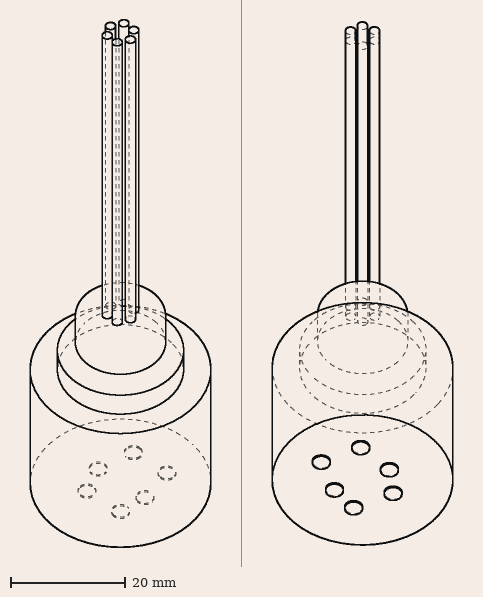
import cadquery as cq
import math

total_height = 112.6

contact_protrusion = 0.3
body_diameter = 31.8
body_height = 28.4
collar_diameter = 22.2
collar_height = 4.7
cone_height = 2.0
neck_diameter = 15.9
neck_height = 7.4
neck_fillet = 0.9

wire_count = 6
wire_diameter = 1.8
wire_circle_diameter = 4.8
first_wire_angle = -3.4

contact_diameter = 3.2
outer_row_x = (-3.4, 4.4)
middle_row_x = (-5.4, 5.4)
back_row_y = 7.3
middle_row_y = 0.2
front_row_y = -5.2
contact_rows = (
    (back_row_y, outer_row_x),
    (middle_row_y, middle_row_x),
    (front_row_y, outer_row_x),
)

body_bottom = contact_protrusion
body_top = body_bottom + body_height
collar_top = body_top + collar_height
cone_top = collar_top + cone_height
neck_top = cone_top + neck_height


def make_body():
    """Revolve the stepped profile and round the rim of the neck."""
    profile = (
        cq.Workplane("XZ")
        .moveTo(0, body_bottom)
        .lineTo(body_diameter / 2, body_bottom)
        .lineTo(body_diameter / 2, body_top)
        .lineTo(collar_diameter / 2, body_top)
        .lineTo(collar_diameter / 2, collar_top)
        .lineTo(neck_diameter / 2, cone_top)
        .lineTo(neck_diameter / 2, neck_top)
        .lineTo(0, neck_top)
        .close()
    )
    body = profile.revolve(360, (0, 0, 0), (0, 1, 0))
    return body.faces(">Z").edges().fillet(neck_fillet)


def make_wires():
    """Straight wires evenly spaced on a circle, standing on top of the neck."""
    centers = []
    for index in range(wire_count):
        angle = math.radians(first_wire_angle + index * 360 / wire_count)
        radius = wire_circle_diameter / 2
        centers.append((radius * math.cos(angle), radius * math.sin(angle)))
    return (
        cq.Workplane("XY", origin=(0, 0, neck_top))
        .pushPoints(centers)
        .circle(wire_diameter / 2)
        .extrude(total_height - neck_top)
    )


def make_contacts():
    """Short round contacts standing proud of the underside."""
    centers = [(x, y) for y, row_x in contact_rows for x in row_x]
    return (
        cq.Workplane("XY")
        .pushPoints(centers)
        .circle(contact_diameter / 2)
        .extrude(contact_protrusion)
    )


result = make_body().union(make_wires()).union(make_contacts())